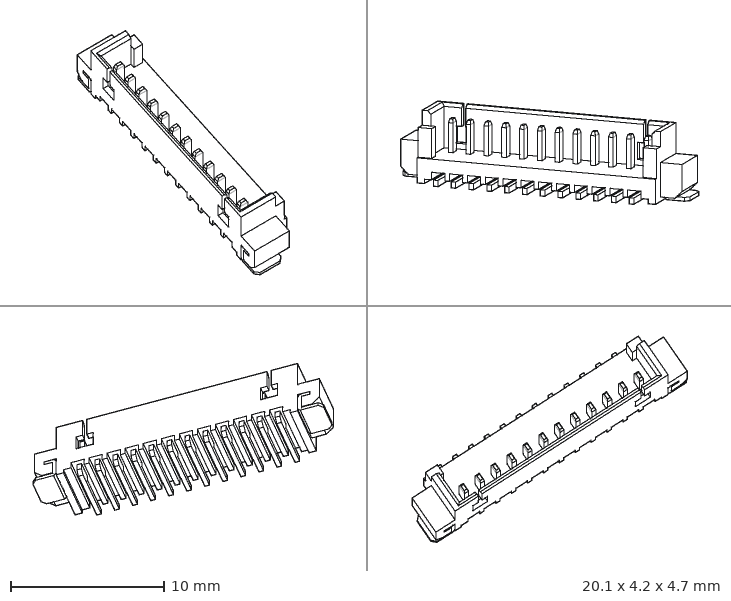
import cadquery as cq

LENGTH = 20.15
DEPTH = 4.2
HEIGHT = 4.7

HOUSING_LENGTH = 16.72
HOUSING_DEPTH = 3.7
WALL_DEPTH = 2.8
FLOOR_TOP = 1.7
UNDERSIDE = 0.3
FOOT_WIDTH = 0.5

FRONT_WALL = 0.4
SIDE_WALL = 0.6
LEAD_IN = 0.22

POST_WIDTH = 0.95
POST_BACK = 3.5
POST_TOP = 3.69

SLOT_CENTER = 6.39
SLOT_WIDTH = 0.28
WINDOW_WIDTH = 1.17
WINDOW_BOTTOM = 2.08
WINDOW_TOP = 3.22

PIN_COUNT = 12
PITCH = 1.25
PIN_WIDTH = 0.32
PIN_FRONT = 0.89
PIN_THICKNESS = 0.62
PIN_TOP = 3.93
PIN_TIP_SIDE_TAPER = 0.06
PIN_TIP_FACE_TAPER = 0.12
PIN_TIP_HEIGHT = 0.25
PIN_BASE_FRONT = 0.3
PIN_HEEL = 0.3
TAIL_THICKNESS = 0.42

COMB_WIDTH = 14.67
COMB_TOP = 0.8
TOOTH_WIDTH = 0.35

WING_LENGTH = 19.75
WING_TOP = 2.62
WING_CHAMFER = 0.5

CLIP_THICKNESS = 0.26
CLIP_DEPTH = 2.18
CLIP_TOP = 1.6
CLIP_HOOK = 0.85
CLIP_BEND = 0.18
CLIP_CORNER = 0.28
CLIP_SETBACK = 0.01

HOUSING_LEFT = -HOUSING_LENGTH / 2
CAVITY_LENGTH = HOUSING_LENGTH - 2 * SIDE_WALL
PIN_CENTERS = [(i - (PIN_COUNT - 1) / 2) * PITCH for i in range(PIN_COUNT)]
TOOTH_CENTERS = [x + PITCH / 2 for x in PIN_CENTERS[:-1]]
CLIP_HOOK_END = HOUSING_LEFT - CLIP_HOOK
CLIP_INNER = HOUSING_LEFT - CLIP_THICKNESS
CLIP_HOOK_BOTTOM = CLIP_TOP - CLIP_THICKNESS


def block(x_min, x_max, y_min, y_max, z_min, z_max):
    """Axis-aligned box between two opposite corners."""
    size = (x_max - x_min, y_max - y_min, z_max - z_min)
    return cq.Workplane("XY").box(*size, centered=False).translate((x_min, y_min, z_min))


def centered_block(x_center, width, y_min, y_max, z_min, z_max):
    """Box given by its middle and width along X."""
    return block(x_center - width / 2, x_center + width / 2, y_min, y_max, z_min, z_max)


def front_profile(points, y_min, y_max):
    """Extrude an outline of (x, z) points from y_min to y_max."""
    return cq.Workplane("XZ", origin=(0, y_min, 0)).polyline(points).close().extrude(y_min - y_max)


def both_ends(left_half):
    """The left-hand feature together with its mirror image on the right."""
    return left_half.union(left_half.mirror("YZ"))


def make_housing():
    base = centered_block(0, HOUSING_LENGTH, 0, HOUSING_DEPTH, UNDERSIDE, FLOOR_TOP)
    walls = centered_block(0, HOUSING_LENGTH, 0, WALL_DEPTH, FLOOR_TOP, HEIGHT)
    walls = walls.cut(centered_block(0, CAVITY_LENGTH, FRONT_WALL, WALL_DEPTH, FLOOR_TOP, HEIGHT))
    post = block(HOUSING_LEFT, HOUSING_LEFT + POST_WIDTH, WALL_DEPTH, POST_BACK, FLOOR_TOP, POST_TOP)
    foot = block(HOUSING_LEFT, HOUSING_LEFT + FOOT_WIDTH, 0, HOUSING_DEPTH, 0, UNDERSIDE)
    return base.union(walls).union(both_ends(post)).union(both_ends(foot))


def cavity_outline(plane, growth):
    """Cavity outline grown toward the front and both sides; the back stays in place."""
    half_length = CAVITY_LENGTH / 2 + growth
    front = FRONT_WALL - growth
    points = [
        (-half_length, front),
        (half_length, front),
        (half_length, WALL_DEPTH),
        (-half_length, WALL_DEPTH),
    ]
    return plane.polyline(points).close()


def make_lead_in():
    """Mitred slope along the inner top edges of the front and side walls."""
    lower = cavity_outline(cq.Workplane("XY", origin=(0, 0, HEIGHT - LEAD_IN)), 0)
    return cavity_outline(lower.workplane(offset=LEAD_IN), LEAD_IN).loft()


def make_keyhole():
    slot = centered_block(-SLOT_CENTER, SLOT_WIDTH, 0, FRONT_WALL, WINDOW_TOP, HEIGHT)
    window = centered_block(-SLOT_CENTER, WINDOW_WIDTH, 0, FRONT_WALL, WINDOW_BOTTOM, WINDOW_TOP)
    return slot.union(window)


def make_comb_gaps():
    gaps = centered_block(0, COMB_WIDTH, 0, HOUSING_DEPTH, UNDERSIDE, COMB_TOP)
    for x in TOOTH_CENTERS:
        gaps = gaps.cut(centered_block(x, TOOTH_WIDTH, 0, HOUSING_DEPTH, UNDERSIDE, COMB_TOP))
    return gaps


def make_pin(x):
    """Contact with a tapered upright, a base stepped forward under the floor and a flat rear tail."""
    pin_back = PIN_FRONT + PIN_THICKNESS
    shoulder = PIN_TOP - PIN_TIP_HEIGHT
    side = [
        (PIN_BASE_FRONT, PIN_HEEL),
        (PIN_BASE_FRONT + PIN_HEEL, 0),
        (DEPTH, 0),
        (DEPTH, TAIL_THICKNESS),
        (pin_back, TAIL_THICKNESS),
        (pin_back, shoulder),
        (PIN_FRONT, shoulder),
        (PIN_FRONT, COMB_TOP),
        (PIN_BASE_FRONT, COMB_TOP),
    ]
    start = x - PIN_WIDTH / 2
    body = cq.Workplane("YZ", origin=(start, 0, 0)).polyline(side).close().extrude(PIN_WIDTH)
    tip = (
        cq.Workplane("XY", origin=(x, PIN_FRONT + PIN_THICKNESS / 2, shoulder))
        .rect(PIN_WIDTH, PIN_THICKNESS)
        .workplane(offset=PIN_TIP_HEIGHT)
        .rect(PIN_WIDTH - 2 * PIN_TIP_SIDE_TAPER, PIN_THICKNESS - 2 * PIN_TIP_FACE_TAPER)
        .loft()
    )
    return body.union(tip)


def make_wing():
    """End block with a chamfered lower edge and a channel that receives the solder clip."""
    outer = -WING_LENGTH / 2
    outline = [
        (HOUSING_LEFT, UNDERSIDE),
        (outer + WING_CHAMFER, UNDERSIDE),
        (outer, UNDERSIDE + WING_CHAMFER),
        (outer, WING_TOP),
        (HOUSING_LEFT, WING_TOP),
    ]
    upright = block(CLIP_INNER, HOUSING_LEFT, 0, CLIP_DEPTH, 0, CLIP_TOP)
    hook = block(CLIP_HOOK_END, HOUSING_LEFT, 0, CLIP_DEPTH, CLIP_HOOK_BOTTOM, CLIP_TOP)
    return front_profile(outline, 0, WALL_DEPTH).cut(upright).cut(hook)


def make_clip():
    """C-shaped strip: solder tab at the bottom, upright against the housing, hook in the wing."""
    tip = -LENGTH / 2
    outline = [
        (tip, 0),
        (HOUSING_LEFT - CLIP_BEND, 0),
        (HOUSING_LEFT, CLIP_BEND),
        (HOUSING_LEFT, CLIP_TOP - CLIP_BEND),
        (HOUSING_LEFT - CLIP_BEND, CLIP_TOP),
        (CLIP_HOOK_END, CLIP_TOP),
        (CLIP_HOOK_END, CLIP_HOOK_BOTTOM),
        (CLIP_INNER, CLIP_HOOK_BOTTOM),
        (CLIP_INNER, CLIP_THICKNESS),
        (tip, CLIP_THICKNESS),
    ]
    strip = front_profile(outline, CLIP_SETBACK, CLIP_DEPTH)
    return strip.edges("|Z and <X").chamfer(CLIP_CORNER)


result = make_housing()
result = result.cut(make_lead_in()).cut(both_ends(make_keyhole())).cut(make_comb_gaps())
result = result.union(both_ends(make_wing())).union(both_ends(make_clip()))
for pin_center in PIN_CENTERS:
    result = result.union(make_pin(pin_center))